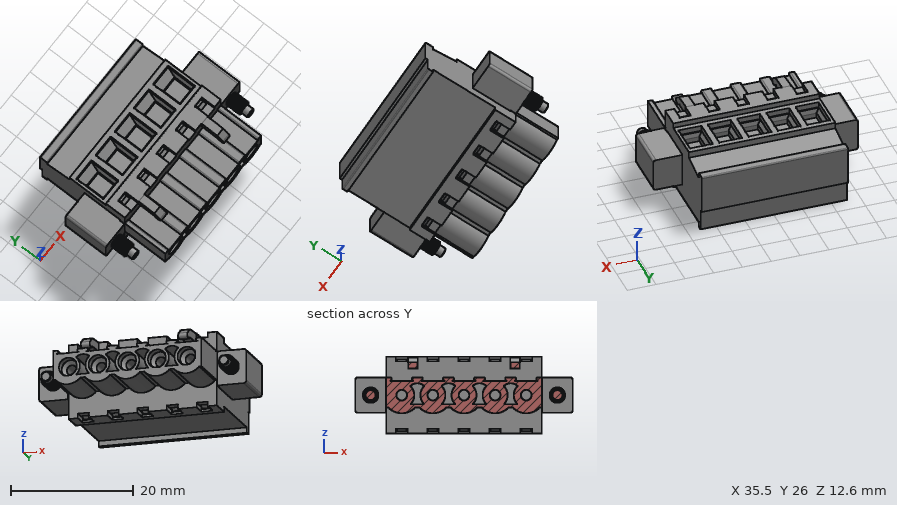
import cadquery as cq
import math


poles = 5
pitch = 5.1
overall_width = 35.55
block_half_height = 6.3
block_length = 3.95
body_width = poles * pitch
body_half_width = body_width / 2

deck_z = 5.4
deck_end_y = 11.5
rail_z = 4.3
rail_front_y = 16.15
rear_y = 17.65
groove_z = 3.38
rear_step_z = -2.5
rear_step_depth = 0.45
rail_edge_radius = 0.18
foot_radius = 0.18

flange_length = 8.4
flange_half_height = 2.9
flange_corner_radius = 0.45
flange_gap = 0.1
flange_gap_depth = 1.0
screw_x = 3 * pitch
thread_crest_radius = 1.28
thread_root_radius = 1.1
thread_length = 2.95
thread_count = 13
screw_tip_radius = 0.85
screw_root_overlap = 0.35
screw_tip_end = 4.25
screw_tip_chamfer = 0.1

nose_length = 8.35
nose_top_z = 2.9
nose_recess_z = 2.35
nose_lobe_radius = 3.0
nose_web_z = -2.03
rib_half_width = 0.65
contact_mouth_radius = 1.53
contact_throat_radius = 0.85
contact_mouth_depth = 1.5
contact_taper_depth = 0.68
pocket_side_radius = 2.05
pocket_floor_z = -1.45
pocket_corner_z = 1.5
pocket_crown_z = 1.92

funnel_mouth_width = 4.0
funnel_front_y = 4.9
funnel_back_y = 10.5
funnel_taper_front_y = 5.12
funnel_rim_depth = 0.95
funnel_taper_depth = 0.8
funnel_bore_depth = 0.92
bore_width = 3.0
bore_front_y = 5.3
bore_back_y = 8.75

slot_width = 1.9
slot_length = 2.65
slot_depth = 0.8
wedge_width = 1.45
wedge_height = 0.4
wedge_foot_y = 1.53
wedge_crest_y = 2.2

hook_width = 1.55
hook_x = 8.35
hook_root_thickness = 1.53
hook_bend_y = -3.27
hook_bend_drop = 0.2
hook_slope_end_y = -4.4
hook_slope_end_z = 5.25
hook_tip_y = -4.7
hook_tip_z = 4.75
hook_barb_z = 4.35
hook_barb_start_y = -4.3
hook_barb_end_y = -3.63
hook_throat_z = 4.7

pole_xs = [(i - (poles - 1) / 2) * pitch for i in range(poles)]
web_xs = [(i - (poles - 2) / 2) * pitch for i in range(poles - 1)]


def centred_extrusion(side_outline, width, x):
    """Extrude a closed YZ outline to a width centred on x."""
    return side_outline.extrude(width / 2, both=True).translate((x, 0, 0))


def box_between(x0, x1, y0, y1, z0, z1):
    """Box spanning the given limits along each axis."""
    return cq.Workplane("XY").box(x1 - x0, y1 - y0, z1 - z0, centered=False).translate((x0, y0, z0))


def make_body():
    """Constant side profile with lightly rounded rail edges and foot corner."""
    outline = (
        cq.Workplane("YZ")
        .moveTo(0, -block_half_height)
        .lineTo(0, block_half_height)
        .lineTo(block_length, block_half_height)
        .lineTo(block_length, deck_z)
        .lineTo(deck_end_y, deck_z)
        .lineTo(deck_end_y, rail_z)
        .lineTo(rail_front_y, groove_z)
        .lineTo(rail_front_y, rail_z)
        .lineTo(rear_y, rail_z)
        .lineTo(rear_y, rear_step_z)
        .lineTo(rear_y - rear_step_depth, rear_step_z)
        .lineTo(rear_y - rear_step_depth, -block_half_height)
        .lineTo(rail_front_y, -block_half_height)
        .lineTo(rail_front_y, -deck_z)
        .lineTo(block_length, -deck_z)
        .lineTo(block_length, -block_half_height)
        .close()
    )
    body = centred_extrusion(outline, body_width, 0)
    for y in (rail_front_y, rear_y):
        body = body.edges(cq.NearestToPointSelector((0, y, rail_z))).fillet(rail_edge_radius)
    foot_corner = (0, rear_y - rear_step_depth, -block_half_height)
    return body.edges(cq.NearestToPointSelector(foot_corner)).fillet(foot_radius)


def make_flanges():
    """Screw flanges on both sides, parted from the body at the front by narrow gaps."""
    flanges = (
        box_between(-overall_width / 2, overall_width / 2, 0, flange_length,
                    -flange_half_height, flange_half_height)
        .edges("|Y")
        .fillet(flange_corner_radius)
    )
    for side in (-1, 1):
        gap_x = side * (body_half_width + flange_gap / 2)
        gap = box_between(gap_x - flange_gap / 2, gap_x + flange_gap / 2, 0, flange_gap_depth,
                          -flange_half_height, flange_half_height)
        flanges = flanges.cut(gap)
    return flanges


def make_screw(x):
    """Screw with ring-shaped thread ridges and a plain chamfered tip."""
    ridge = thread_length / thread_count
    outline = (
        cq.Workplane("XY")
        .moveTo(0, screw_root_overlap)
        .lineTo(thread_root_radius, screw_root_overlap)
        .lineTo(thread_root_radius, 0)
    )
    for i in range(thread_count):
        outline = outline.lineTo(thread_crest_radius, -(i + 0.5) * ridge)
        outline = outline.lineTo(thread_root_radius, -(i + 1) * ridge)
    outline = (
        outline.lineTo(screw_tip_radius, -thread_length)
        .lineTo(screw_tip_radius, -screw_tip_end + screw_tip_chamfer)
        .lineTo(screw_tip_radius - screw_tip_chamfer, -screw_tip_end)
        .lineTo(0, -screw_tip_end)
        .close()
    )
    return outline.revolve(360, (0, 0, 0), (0, 1, 0)).translate((x, 0, 0))


def make_nose():
    """Nose with a flat top, scalloped underside and round-sided ribs between the poles."""
    lobe_half_chord = math.sqrt(nose_lobe_radius**2 - nose_web_z**2)
    outline = (
        cq.Workplane("XZ")
        .moveTo(-body_half_width, nose_recess_z)
        .lineTo(-body_half_width, nose_web_z)
    )
    for x in pole_xs:
        outline = (
            outline.lineTo(x - lobe_half_chord, nose_web_z)
            .threePointArc((x, -nose_lobe_radius), (x + lobe_half_chord, nose_web_z))
        )
    nose = (
        outline.lineTo(body_half_width, nose_web_z)
        .lineTo(body_half_width, nose_recess_z)
        .close()
        .extrude(nose_length)
    )
    for i in range(poles + 1):
        nose = nose.union(make_rib((i - poles / 2) * pitch))
    return nose.intersect(
        box_between(-body_half_width, body_half_width, -nose_length, 0, -nose_lobe_radius, nose_top_z)
    )


def make_rib(x):
    """Flat-topped rib with semicircular sides."""
    bulge = (nose_top_z - nose_recess_z) / 2
    mid_z = nose_recess_z + bulge
    return (
        cq.Workplane("XZ")
        .moveTo(x - rib_half_width, nose_recess_z)
        .lineTo(x + rib_half_width, nose_recess_z)
        .threePointArc((x + rib_half_width + bulge, mid_z), (x + rib_half_width, nose_top_z))
        .lineTo(x - rib_half_width, nose_top_z)
        .threePointArc((x - rib_half_width - bulge, mid_z), (x - rib_half_width, nose_recess_z))
        .close()
        .extrude(nose_length)
    )


def make_contact_hole(x):
    """Round mouth tapering to a straight throat along the whole nose."""
    taper_start_y = -nose_length + contact_mouth_depth
    return (
        cq.Workplane("XY")
        .moveTo(0, -nose_length)
        .lineTo(contact_mouth_radius, -nose_length)
        .lineTo(contact_mouth_radius, taper_start_y)
        .lineTo(contact_throat_radius, taper_start_y + contact_taper_depth)
        .lineTo(contact_throat_radius, 0)
        .lineTo(0, 0)
        .close()
        .revolve(360, (0, 0, 0), (0, 1, 0))
        .translate((x, 0, 0))
    )


def make_pocket(x):
    """Waisted pocket between two poles, its sides concentric with the contact holes."""
    waist = pitch / 2 - pocket_side_radius
    crown_half = pitch / 2 - math.sqrt(pocket_side_radius**2 - pocket_corner_z**2)
    floor_half = pitch / 2 - math.sqrt(pocket_side_radius**2 - pocket_floor_z**2)
    return (
        cq.Workplane("XZ")
        .moveTo(x - floor_half, pocket_floor_z)
        .lineTo(x + floor_half, pocket_floor_z)
        .threePointArc((x + waist, 0), (x + crown_half, pocket_corner_z))
        .threePointArc((x, pocket_crown_z), (x - crown_half, pocket_corner_z))
        .threePointArc((x - waist, 0), (x - floor_half, pocket_floor_z))
        .close()
        .extrude(nose_length)
    )


def make_funnel(x):
    """Straight rim, narrow front ledge, tapered throat and short rectangular bore for one wire."""
    mouth_length = funnel_back_y - funnel_front_y
    mouth_y = (funnel_back_y + funnel_front_y) / 2
    taper_length = funnel_back_y - funnel_taper_front_y
    taper_y = (funnel_back_y + funnel_taper_front_y) / 2
    bore_length = bore_back_y - bore_front_y
    bore_y = (bore_back_y + bore_front_y) / 2
    rim = (
        cq.Workplane("XY", origin=(x, mouth_y, deck_z))
        .rect(funnel_mouth_width, mouth_length)
        .extrude(-funnel_rim_depth)
    )
    taper = (
        cq.Workplane("XY", origin=(x, taper_y, deck_z - funnel_rim_depth))
        .rect(funnel_mouth_width, taper_length)
        .workplane(offset=-funnel_taper_depth)
        .center(0, bore_y - taper_y)
        .rect(bore_width, bore_length)
        .loft(ruled=True)
    )
    bore = (
        cq.Workplane("XY", origin=(x, bore_y, deck_z - funnel_rim_depth - funnel_taper_depth))
        .rect(bore_width, bore_length)
        .extrude(-funnel_bore_depth)
    )
    return rim.union(taper).union(bore)


def make_slot(x):
    """Coding slot in the top of the block with a ramped wedge left standing at its inner end."""
    floor_z = block_half_height - slot_depth
    slot = box_between(x - slot_width / 2, x + slot_width / 2, 0, slot_length, floor_z, block_half_height)
    wedge_outline = (
        cq.Workplane("YZ")
        .moveTo(wedge_foot_y, floor_z)
        .lineTo(wedge_crest_y, floor_z + wedge_height)
        .lineTo(slot_length, floor_z + wedge_height)
        .lineTo(slot_length, floor_z)
        .close()
    )
    return slot.cut(centred_extrusion(wedge_outline, wedge_width, x))


def make_hook(x):
    """Latch arm with a drooping rounded tip, rooted flush with the top of the block."""
    top_z = block_half_height
    bend_z = top_z - hook_bend_drop
    root_bottom_z = top_z - hook_root_thickness
    outline = (
        cq.Workplane("YZ")
        .moveTo(0, top_z)
        .threePointArc((hook_bend_y / 2, top_z - hook_bend_drop / 3), (hook_bend_y, bend_z))
        .lineTo(hook_slope_end_y, hook_slope_end_z)
        .threePointArc((hook_tip_y, hook_tip_z), (hook_barb_start_y, hook_barb_z))
        .lineTo(hook_barb_end_y, hook_barb_z)
        .lineTo(hook_bend_y, hook_throat_z)
        .lineTo(0, root_bottom_z)
        .close()
    )
    return centred_extrusion(outline, hook_width, x)


result = make_body().union(make_flanges()).union(make_nose())

for x in pole_xs:
    slot = make_slot(x)
    result = result.cut(make_contact_hole(x)).cut(make_funnel(x))
    result = result.cut(slot).cut(slot.mirror("XY"))

for x in web_xs:
    result = result.cut(make_pocket(x))

for side in (-1, 1):
    result = result.union(make_hook(side * hook_x))
    result = result.union(make_screw(side * screw_x))